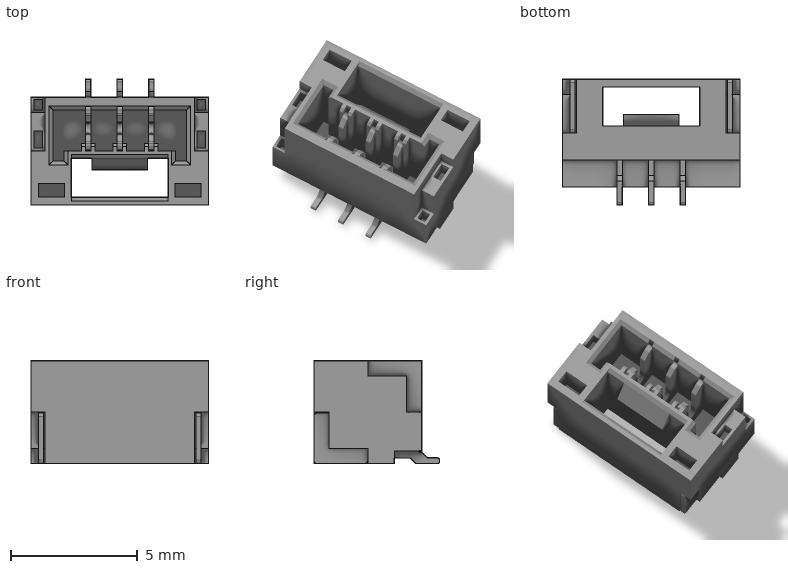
import cadquery as cq

width = 7.0
depth = 4.255
height = 4.06
lead_in = 0.15

relief_width = 0.55
relief_thickness = 0.6
relief_depth = 2.13
relief_height = 2.03

step_front = 3.18
step_height = 0.505

cavity_half_width = 2.64
cavity_floor = 0.875
cavity_back = 3.75
wall_back = 2.13
arm_front = 1.735
arm_inner = 2.19

window_half_width = 1.905
window_front = 0.315
window_back = 1.84
wedge_half_width = 1.1
wedge_reach = 0.455
wedge_drop = 0.8

corner_pocket_size = (1.01, 0.53, 1.4)
corner_pocket_centre = (2.69, 0.58)
end_pocket_width = 0.35
end_pocket_x = 3.21
upper_pocket_length = 0.665
upper_pocket_y = 2.58
lower_pocket_length = 0.42
lower_pocket_y = 3.955
end_pocket_depth = 0.7

contact_count = 3
contact_pitch = 1.245
contact_thickness = 0.22
tail_thickness = 0.24
tail_end = 4.96
tail_end_radius = 0.105
tail_rise = 0.22
foot_start = 4.02
stem_back = 4.15
fork_centre = 3.025
fork_half_width = 0.855
fork_half_gap = 0.23
fork_root = 1.54
fork_tip_width = 0.31
fork_top = 3.66
tip_slope_drop = 0.315
outer_tip_radius = 0.13
inner_tip_radius = 0.105
slot_back = 3.9

post_half_width = 0.265
post_back = 2.435
post_chamfer = 0.12

clip_inner = 3.0
clip_thickness = 0.195
clip_gap = 0.03
clip_radius = 0.14


def block(x_range, y_range, z_range):
    """Box between the given limits."""
    (x0, x1), (y0, y1), (z0, z1) = x_range, y_range, z_range
    return cq.Workplane("XY").box(x1 - x0, y1 - y0, z1 - z0, centered=False).translate((x0, y0, z0))


def side_profile(outline, x_start, thickness):
    """Extrude a (Y, Z) outline along X."""
    return cq.Workplane("YZ").polyline(outline).close().extrude(thickness).translate((x_start, 0, 0))


def round_corner(solid, x, y, z, radius):
    """Fillet the edge along X that starts nearest to the given corner."""
    corner = cq.selectors.NearestToPointSelector((x, y, z))
    return solid.edges("|X").edges(corner).fillet(radius)


def with_mirror(solid):
    """A solid on one end together with its mirror image on the other."""
    return solid.union(solid.mirror("YZ"))


def relief_l(y_edge, y_inward, z_edge, z_inward):
    """L-shaped relief along one end edge, starting from an outer corner."""
    def span(start, length, direction):
        return tuple(sorted((start, start + length * direction)))
    x_range = (width / 2 - relief_width, width / 2)
    long_leg = block(x_range, span(y_edge, relief_depth, y_inward), span(z_edge, relief_thickness, z_inward))
    tall_leg = block(x_range, span(y_edge, relief_thickness, y_inward), span(z_edge, relief_height, z_inward))
    return with_mirror(long_leg.union(tall_leg))


def make_housing():
    housing = block((-width / 2, width / 2), (0, depth), (0, height))
    housing = housing.cut(relief_l(0, 1, 0, 1)).cut(relief_l(depth, -1, height, -1))
    return housing.cut(block((-width / 2, width / 2), (step_front, depth), (0, step_height)))


def flared(x0, x1, y0, y1):
    """Lead-in widening from a rectangle to one larger by the chamfer all round at the top."""
    length_x = x1 - x0
    length_y = y1 - y0
    lower = cq.Workplane("XY").rect(length_x, length_y)
    upper = lower.workplane(offset=lead_in).rect(length_x + 2 * lead_in, length_y + 2 * lead_in)
    flare = upper.loft(ruled=True)
    return flare.translate(((x0 + x1) / 2, (y0 + y1) / 2, height - lead_in))


def make_cavity():
    z_range = (cavity_floor, height)
    main = block((-cavity_half_width, cavity_half_width), (wall_back, cavity_back), z_range)
    arm = block((arm_inner, cavity_half_width), (arm_front, wall_back), z_range)
    main_flare = flared(-cavity_half_width, cavity_half_width, arm_front, cavity_back)
    rim_keep = block((-width / 2, width / 2), (0, wall_back), z_range)
    arm_flare = flared(arm_inner, cavity_half_width, arm_front, cavity_back)
    cavity = main.union(with_mirror(arm)).union(main_flare.cut(rim_keep))
    return cavity.union(with_mirror(arm_flare))


def make_window():
    opening = block((-window_half_width, window_half_width), (window_front, window_back), (0, height))
    flare_outline = [
        (window_front, height - lead_in),
        (window_back, height - lead_in),
        (window_back + lead_in, height),
        (window_front - lead_in, height),
    ]
    return opening.union(side_profile(flare_outline, -window_half_width, 2 * window_half_width))


def make_wedge():
    top = height - lead_in
    outline = [
        (window_back, top),
        (window_back, top - wedge_drop),
        (window_back - wedge_reach, top - wedge_drop),
    ]
    return side_profile(outline, -wedge_half_width, 2 * wedge_half_width)


def pocket(x, y, size, top):
    """Blind rectangular pocket sunk from the given level at both ends."""
    length_x, length_y, sink = size
    return with_mirror(block(
        (x - length_x / 2, x + length_x / 2),
        (y - length_y / 2, y + length_y / 2),
        (top - sink, top),
    ))


def make_clips():
    top = relief_height - clip_gap
    outline = [
        (0, 0),
        (relief_depth, 0),
        (relief_depth, relief_thickness),
        (relief_thickness, relief_thickness),
        (relief_thickness, top),
        (0, top),
    ]
    clip = side_profile(outline, clip_inner, clip_thickness)
    for y, z in ((0, 0), (0, top), (relief_depth, 0)):
        clip = round_corner(clip, clip_inner, y, z, clip_radius)
    return with_mirror(clip)


def make_contact_slot(x):
    """Slot along Y that splits the post and lets the contact into the rear wall."""
    half = contact_thickness / 2
    return block((x - half, x + half), (wall_back, slot_back), (cavity_floor, height))


def make_post(x):
    """Post on the middle wall, split by the slot for the contact."""
    post = block((x - post_half_width, x + post_half_width), (wall_back, post_back), (cavity_floor, height))
    return post.edges(">Y and >Z").chamfer(post_chamfer)


def make_fork(x_start):
    """Two upright arms, mirror images about the fork centre, joined by a round root."""
    tip = [
        (fork_half_width, fork_top),
        (fork_half_width - fork_tip_width, fork_top),
        (fork_half_gap, fork_top - tip_slope_drop),
    ]
    rear_tip = [(fork_centre + offset, z) for offset, z in tip]
    front_tip = [(fork_centre - offset, z) for offset, z in tip]
    root_end = fork_root + fork_half_gap
    fork = (
        cq.Workplane("YZ")
        .moveTo(fork_centre + fork_half_width, step_height)
        .polyline(rear_tip, includeCurrent=True)
        .lineTo(fork_centre + fork_half_gap, root_end)
        .threePointArc((fork_centre, fork_root), (fork_centre - fork_half_gap, root_end))
        .polyline(front_tip[::-1], includeCurrent=True)
        .lineTo(fork_centre - fork_half_width, step_height)
        .close()
        .extrude(contact_thickness)
        .translate((x_start, 0, 0))
    )
    radii = (outer_tip_radius, inner_tip_radius, inner_tip_radius)
    for corners in (rear_tip, front_tip):
        for (y, z), radius in zip(corners, radii):
            fork = round_corner(fork, x_start, y, z, radius)
    return fork


def make_tail(x_start):
    """Stem through the floor, stepping down to a flat foot behind the housing."""
    tail_outline = [
        (step_front, tail_rise),
        (foot_start - tail_rise, tail_rise),
        (foot_start, 0),
        (tail_end, 0),
        (tail_end, tail_thickness),
        (depth + tail_rise, tail_thickness),
        (depth, tail_rise + tail_thickness),
        (stem_back, tail_rise + tail_thickness),
        (stem_back, cavity_floor),
        (step_front, cavity_floor),
    ]
    tail = side_profile(tail_outline, x_start, contact_thickness)
    tail = round_corner(tail, x_start, tail_end, 0, tail_end_radius)
    return round_corner(tail, x_start, tail_end, tail_thickness, tail_end_radius)


def make_contact(x):
    x_start = x - contact_thickness / 2
    return make_fork(x_start).union(make_tail(x_start))


contact_positions = [(i - (contact_count - 1) / 2) * contact_pitch for i in range(contact_count)]

end_pocket_upper = (end_pocket_width, upper_pocket_length, end_pocket_depth)
end_pocket_lower = (end_pocket_width, lower_pocket_length, end_pocket_depth)

result = make_housing().cut(make_cavity()).cut(make_window()).union(make_wedge())
result = result.cut(pocket(*corner_pocket_centre, corner_pocket_size, height))
result = result.cut(pocket(end_pocket_x, upper_pocket_y, end_pocket_upper, height - relief_thickness))
result = result.cut(pocket(end_pocket_x, lower_pocket_y, end_pocket_lower, height - relief_height))
result = result.union(make_clips())
for contact_x in contact_positions:
    result = result.union(make_post(contact_x)).cut(make_contact_slot(contact_x))
    result = result.union(make_contact(contact_x))